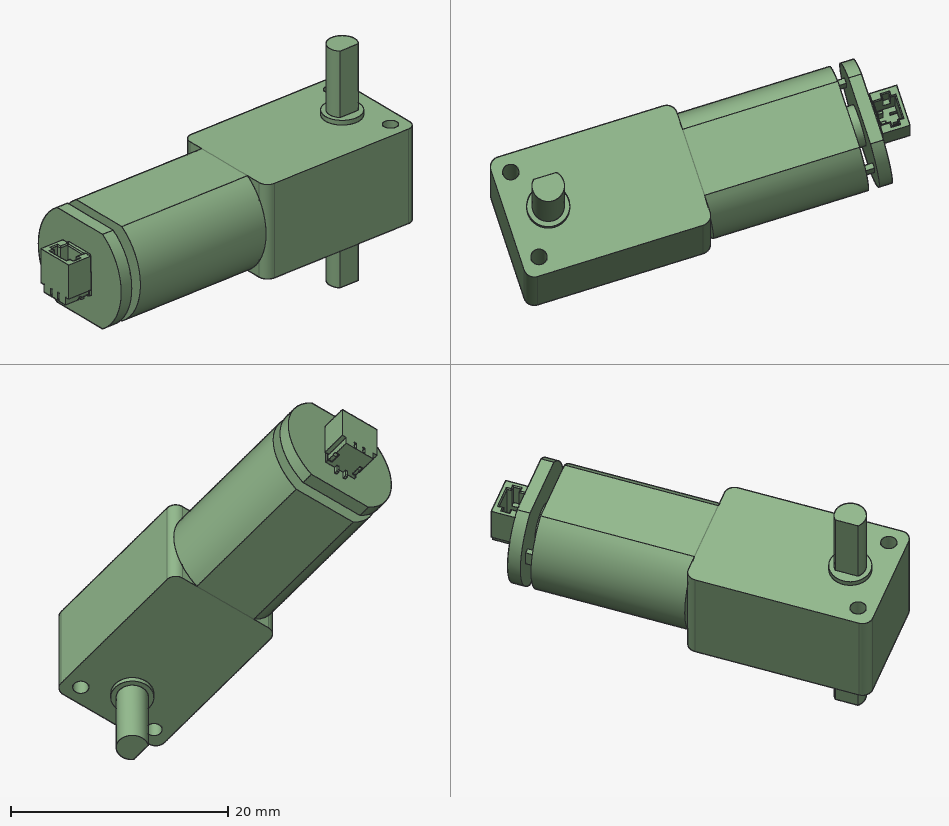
import cadquery as cq
import math


WIDTH = 12.0
HEIGHT = 10.0
GEARBOX_LENGTH = 18.0
CORNER_RADIUS = 1.0
MOUNT_HOLE_DIAMETER = 1.5
MOUNT_HOLE_SPACING = 8.5
MOUNT_HOLE_INSET = 1.7

SHAFT_LENGTH = 25.0
SHAFT_DIAMETER = 3.0
SHAFT_FLAT_OFFSET = 1.0
SHAFT_INSET = 3.95
BOSS_DIAMETER = 4.0
BOSS_HEIGHT = 0.5

MOTOR_LENGTH = 15.0
PLATE_GAP = 1.05
PLATE_THICKNESS = 1.25
END_BOSS_DIAMETER = 4.0
TERMINAL_SPACING = 8.5
TERMINAL_WIDTH = 0.55
TERMINAL_HEIGHT = 1.5

TOTAL_LENGTH = 38.28
HOUSING_WIDTH = 4.02
HOUSING_TOP = 2.25
HOUSING_SHOULDER = -1.35
HOUSING_BOTTOM = -2.15
LOWER_WIDTH = 3.15
WIDE_PART_DEPTH = 0.35
BACK_DROP = 0.1

SOCKET_WIDTH = 2.22
SOCKET_START = 0.45
SOCKET_END = 2.53
SOCKET_NOTCH_WIDTH = 3.15
SOCKET_NOTCH_START = 1.38
SOCKET_NOTCH_END = 2.05
SOCKET_NOTCH_FLOOR = 0
MOUTH_CHAMFER = 0.1
MOUTH_TAPER = 45
BACK_LEAD_IN = 0.23

CONTACT_PITCH = 1.0
CONTACT_WIDTH = 0.23
CONTACT_START = 0.7
CONTACT_END = 1.15
CONTACT_TOP = 0.2
TAIL_BOTTOM = -2.95
TAIL_THICKNESS = 0.35
SLOT_START = 1.85
SLOT_FLOOR = -2.03
NAIL_THICKNESS = 0.1
NAIL_DEPTH = 0.23
NAIL_TOP = 0.35

GROOVE_LENGTH = 0.4
GROOVE_DEPTH = 1.22
GROOVE_RADIUS = 0.23
RELIEF_HEIGHT = 0.1

HALF_HEIGHT = HEIGHT / 2
SHAFT_Y = GEARBOX_LENGTH - SHAFT_INSET
PLATE_FACE_Y = -(MOTOR_LENGTH + PLATE_GAP + PLATE_THICKNESS)
CONNECTOR_DEPTH = TOTAL_LENGTH - GEARBOX_LENGTH + PLATE_FACE_Y


def box(x_range, y_range, z_range):
    """Box between the given limits along each axis."""
    limits = (x_range, y_range, z_range)
    sizes = [high - low for low, high in limits]
    corner = cq.Vector(*[low for low, high in limits])
    return cq.Workplane(cq.Solid.makeBox(*sizes, corner))


def connector_box(width, depth_range, z_range, center_x=0):
    """Box centred on center_x, with its depth counted from the plate face toward -Y."""
    near, far = depth_range
    x_range = (center_x - width / 2, center_x + width / 2)
    return box(x_range, (PLATE_FACE_Y - far, PLATE_FACE_Y - near), z_range)



def make_gearbox():
    gearbox = box((-WIDTH / 2, WIDTH / 2), (0, GEARBOX_LENGTH), (-HALF_HEIGHT, HALF_HEIGHT))
    gearbox = gearbox.edges("|Z").fillet(CORNER_RADIUS)
    hole_y = GEARBOX_LENGTH - MOUNT_HOLE_INSET
    hole_centers = [(side * MOUNT_HOLE_SPACING / 2, hole_y) for side in (-1, 1)]
    holes = (
        cq.Workplane("XY", origin=(0, 0, -HALF_HEIGHT))
        .pushPoints(hole_centers)
        .circle(MOUNT_HOLE_DIAMETER / 2)
        .extrude(HEIGHT)
    )
    return gearbox.cut(holes)


def make_output_shaft():
    """D-section shaft through the gearbox, with a round boss on each side."""
    radius = SHAFT_DIAMETER / 2
    half_flat = math.sqrt(radius**2 - SHAFT_FLAT_OFFSET**2)
    shaft = (
        cq.Workplane("XY", origin=(0, SHAFT_Y, -SHAFT_LENGTH / 2))
        .moveTo(SHAFT_FLAT_OFFSET, half_flat)
        .threePointArc((-radius, 0), (SHAFT_FLAT_OFFSET, -half_flat))
        .close()
        .extrude(SHAFT_LENGTH)
    )
    boss_span = HEIGHT + 2 * BOSS_HEIGHT
    bosses = (
        cq.Workplane("XY", origin=(0, SHAFT_Y, -boss_span / 2))
        .circle(BOSS_DIAMETER / 2)
        .extrude(boss_span)
    )
    return shaft.union(bosses)


def make_flattened_disc(start_y, length):
    """Round section with flat top and bottom, running from start_y toward -Y."""
    radius = WIDTH / 2
    half_flat = math.sqrt(radius**2 - HALF_HEIGHT**2)
    return (
        cq.Workplane("XZ", origin=(0, start_y, 0))
        .moveTo(-half_flat, HALF_HEIGHT)
        .lineTo(half_flat, HALF_HEIGHT)
        .threePointArc((radius, 0), (half_flat, -HALF_HEIGHT))
        .lineTo(-half_flat, -HALF_HEIGHT)
        .threePointArc((-radius, 0), (-half_flat, HALF_HEIGHT))
        .close()
        .extrude(length)
    )


def make_plate_supports():
    """Round end boss and two flat terminals that bridge the gap to the plate."""
    gap = cq.Workplane("XZ", origin=(0, -MOTOR_LENGTH, 0))
    end_boss = gap.circle(END_BOSS_DIAMETER / 2).extrude(PLATE_GAP)
    terminals = (
        gap.pushPoints([(-TERMINAL_SPACING / 2, 0), (TERMINAL_SPACING / 2, 0)])
        .rect(TERMINAL_WIDTH, TERMINAL_HEIGHT)
        .extrude(PLATE_GAP)
    )
    return end_boss.union(terminals)


def make_gear_motor():
    gearbox_end = make_gearbox().union(make_output_shaft())
    motor_can = make_flattened_disc(0, MOTOR_LENGTH)
    plate = make_flattened_disc(PLATE_FACE_Y + PLATE_THICKNESS, PLATE_THICKNESS)
    motor_end = motor_can.union(make_plate_supports()).union(plate)
    return gearbox_end.union(motor_end, clean=False)



def make_housing_block():
    wide_part = connector_box(
        HOUSING_WIDTH, (WIDE_PART_DEPTH, CONNECTOR_DEPTH), (HOUSING_SHOULDER, HOUSING_TOP)
    )
    lower_part = connector_box(LOWER_WIDTH, (0, CONNECTOR_DEPTH), (HOUSING_BOTTOM, HOUSING_SHOULDER))
    back_pad = connector_box(
        LOWER_WIDTH, (0, WIDE_PART_DEPTH), (HOUSING_SHOULDER, HOUSING_TOP - BACK_DROP)
    )
    return wide_part.union(lower_part).union(back_pad)


def cut_socket(housing):
    """Open the top with a notched socket and chamfer its mouth."""
    socket_z = (HOUSING_SHOULDER, HOUSING_TOP)
    well = connector_box(SOCKET_WIDTH, (SOCKET_START, SOCKET_END), socket_z)
    notches = connector_box(
        SOCKET_NOTCH_WIDTH,
        (SOCKET_NOTCH_START, SOCKET_NOTCH_END),
        (SOCKET_NOTCH_FLOOR, HOUSING_TOP),
    )
    socket = well.union(notches)
    mouth_outline = socket.faces(">Z").wires().val().offset2D(MOUTH_CHAMFER, "intersection")[0]
    mouth = cq.Workplane("XY").add(mouth_outline).toPending().extrude(-MOUTH_CHAMFER, taper=MOUTH_TAPER)
    back_wall_y = PLATE_FACE_Y - SOCKET_START
    lead_in = (
        cq.Workplane("YZ")
        .moveTo(back_wall_y, HOUSING_TOP)
        .lineTo(back_wall_y + BACK_LEAD_IN, HOUSING_TOP)
        .lineTo(back_wall_y, HOUSING_TOP - BACK_LEAD_IN)
        .close()
        .extrude(SOCKET_WIDTH / 2 + MOUTH_CHAMFER, both=True)
    )
    return housing.cut(socket).cut(mouth).cut(lead_in)


def cut_underside_grooves(housing):
    """Half-round groove and shallow relief let into each side of the underside."""
    for side in (-1, 1):
        center_x = side * (LOWER_WIDTH - GROOVE_LENGTH) / 2
        groove_start = (center_x - GROOVE_LENGTH / 2, PLATE_FACE_Y - GROOVE_DEPTH, HOUSING_BOTTOM)
        groove = cq.Workplane("YZ", origin=groove_start).circle(GROOVE_RADIUS).extrude(GROOVE_LENGTH)
        relief = connector_box(
            GROOVE_LENGTH,
            (WIDE_PART_DEPTH, GROOVE_DEPTH),
            (HOUSING_BOTTOM, HOUSING_BOTTOM + RELIEF_HEIGHT),
            center_x,
        )
        housing = housing.cut(groove).cut(relief)
    return housing


def add_contact(connector, x):
    """Cut one contact slot, then add the contact post and its solder tail."""
    slot = connector_box(CONTACT_WIDTH, (SLOT_START, CONNECTOR_DEPTH), (SLOT_FLOOR, HOUSING_SHOULDER), x)
    post = connector_box(CONTACT_WIDTH, (CONTACT_START, CONTACT_END), (HOUSING_SHOULDER, CONTACT_TOP), x)
    tail = connector_box(CONTACT_WIDTH, (0, TAIL_THICKNESS), (TAIL_BOTTOM, HOUSING_BOTTOM), x)
    return connector.cut(slot).union(post).union(tail)


def make_solder_nails():
    """Pair of thin nails lying against the sides of the back pad."""
    nail_span = LOWER_WIDTH + 2 * NAIL_THICKNESS
    return connector_box(nail_span, (0, NAIL_DEPTH), (HOUSING_BOTTOM, NAIL_TOP))


def make_connector():
    connector = make_housing_block().union(make_solder_nails())
    connector = cut_underside_grooves(cut_socket(connector))
    for side in (-1, 1):
        connector = add_contact(connector, side * CONTACT_PITCH / 2)
    return connector


gear_motor = make_gear_motor()
connector = make_connector()

result = cq.Compound.makeCompound([gear_motor.solids().val(), connector.solids().val()])